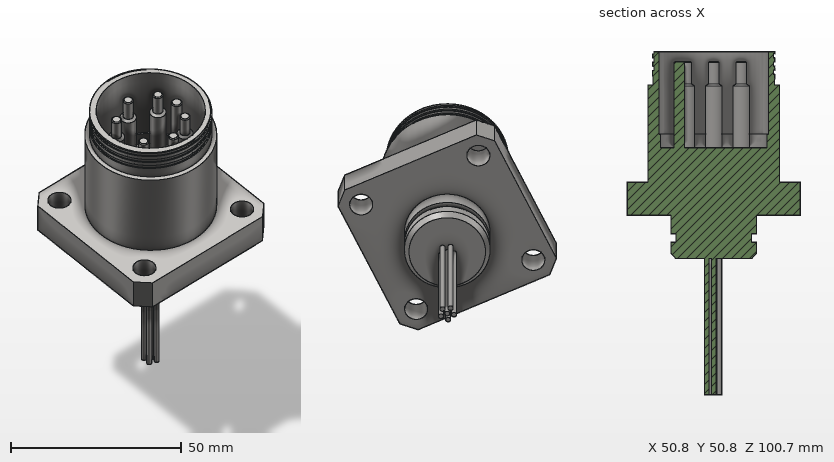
import cadquery as cq
import math

flange_thickness = 9.8
body_height = 28.5
collar_height = 9.8
neck_height = 12.7
total_height = 100.7
body_top = flange_thickness + body_height
rim_z = body_top + collar_height
wire_length = total_height - rim_z - neck_height

flange_size = 50.8
flange_corner = 4.0
mount_hole_diameter = 6.7
mount_hole_spacing = 38.0

body_diameter = 38.8
collar_diameter = 36.0

neck_diameter = 25.2
neck_end_diameter = 22.5
neck_groove_diameter = neck_end_diameter
neck_groove_offset = 5.4
neck_groove_width = 2.4
neck_bevel_height = 1.5

bore_diameter = 32.0
bore_depth = 24.2
floor_diameter = 31.0
floor_depth = 28.2
floor_z = rim_z - floor_depth

pin_circle_radius = 10.1
pin_diameter = 3.0
key_diameter = 3.2
pin_tip_depth = 2.9
pin_tip_chamfer = 0.3
post_diameter = 4.8
post_depth = 10.1
post_cone_height = 0.6
contact_angles = [0, 53, 127, 180, 233, 307]
key_angle = 90

thread_pitch = 2.4
thread_width = thread_pitch / 2
thread_depth = 0.4
thread_overlap = 0.5
thread_start_depth = 6.7
thread_start_angle = 170
thread_length = thread_start_depth + thread_pitch

wire_diameter = 1.5
wire_circle_radius = 2.0
outer_wire_count = 5
first_wire_angle = 90


def polar(radius, angle):
    turn = math.radians(angle)
    return (radius * math.cos(turn), radius * math.sin(turn))


def cylinder(diameter, z_low, z_high, center=(0, 0)):
    base = cq.Workplane("XY").workplane(offset=z_low)
    return base.center(*center).circle(diameter / 2).extrude(z_high - z_low)


def make_flange():
    plate = cq.Workplane("XY").rect(flange_size, flange_size).extrude(flange_thickness)
    plate = plate.edges("|Z").chamfer(flange_corner)
    holes = cq.Workplane("XY").rect(mount_hole_spacing, mount_hole_spacing, forConstruction=True)
    holes = holes.vertices().circle(mount_hole_diameter / 2).extrude(flange_thickness)
    return plate.cut(holes)


def make_neck():
    groove_low = -neck_groove_offset - neck_groove_width
    outline = [
        (0, 0),
        (neck_diameter / 2, 0),
        (neck_diameter / 2, -neck_groove_offset),
        (neck_groove_diameter / 2, -neck_groove_offset),
        (neck_groove_diameter / 2, groove_low),
        (neck_diameter / 2, groove_low),
        (neck_diameter / 2, neck_bevel_height - neck_height),
        (neck_end_diameter / 2, -neck_height),
        (0, -neck_height),
    ]
    return cq.Workplane("XZ").polyline(outline).close().revolve(360, (0, 0), (0, 1))


def make_thread_groove():
    crest_radius = collar_diameter / 2
    center_radius = crest_radius + (thread_overlap - thread_depth) / 2
    path = cq.Workplane(cq.Wire.makeHelix(thread_pitch, thread_length, center_radius))
    section = cq.Workplane("XZ").center(center_radius, 0).rect(thread_depth + thread_overlap, thread_width)
    groove = section.sweep(path, isFrenet=True)
    groove = groove.rotate((0, 0, 0), (0, 0, 1), thread_start_angle)
    return groove.translate((0, 0, rim_z - thread_start_depth))


def make_collar():
    blank_top = rim_z + 2 * thread_pitch
    blank = cylinder(collar_diameter, body_top, blank_top)
    threaded = blank.cut(make_thread_groove())
    return threaded.cut(cylinder(body_diameter, rim_z, blank_top))


def make_pin(angle, diameter):
    center = polar(pin_circle_radius, angle)
    pin = cylinder(diameter, floor_z, rim_z - pin_tip_depth, center)
    return pin.faces(">Z").chamfer(pin_tip_chamfer)


def make_post(angle):
    post = cylinder(post_diameter, floor_z, rim_z - post_depth + post_cone_height)
    shoulder_width = (post_diameter - pin_diameter) / 2
    post = post.faces(">Z").edges().chamfer(post_cone_height, shoulder_width)
    x, y = polar(pin_circle_radius, angle)
    return post.translate((x, y, 0))


def make_wire(center):
    return cylinder(wire_diameter, -neck_height - wire_length, -neck_height, center)


result = make_flange().union(make_neck())
result = result.union(cylinder(body_diameter, flange_thickness, body_top))
result = result.union(make_collar())

result = result.cut(cylinder(bore_diameter, rim_z - bore_depth, rim_z))
result = result.cut(cylinder(floor_diameter, floor_z, rim_z))

for contact_angle in contact_angles:
    result = result.union(make_post(contact_angle))
    result = result.union(make_pin(contact_angle, pin_diameter))
result = result.union(make_pin(key_angle, key_diameter))

result = result.union(make_wire((0, 0)))
for i in range(outer_wire_count):
    wire_angle = first_wire_angle + i * 360 / outer_wire_count
    result = result.union(make_wire(polar(wire_circle_radius, wire_angle)))